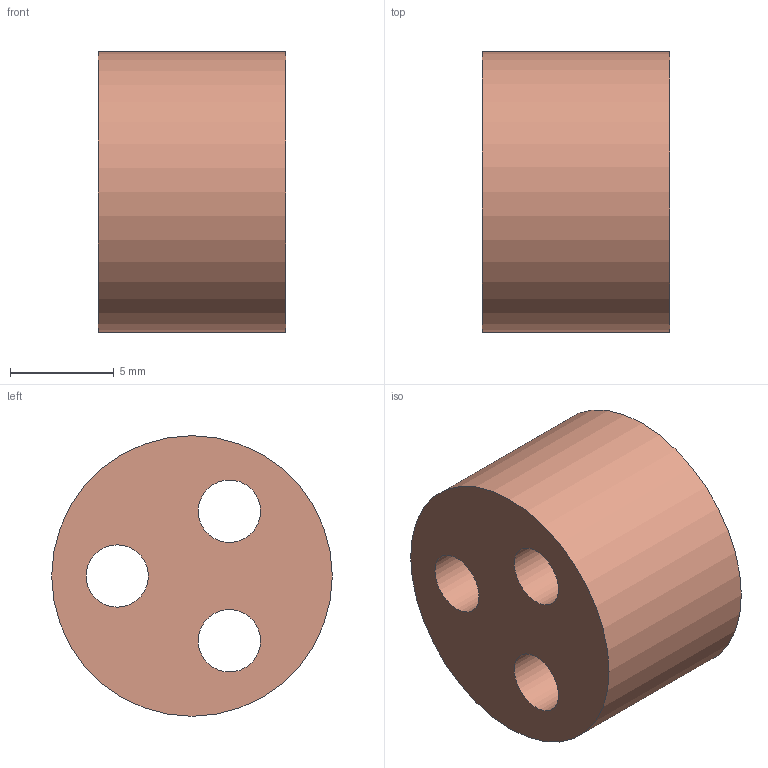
import cadquery as cq

body_diameter = 13.5
body_length = 9.0
hole_diameter = 3.0
hole_count = 3
hole_circle_radius = 3.6


def make_body():
    """Plain cylinder lying along the X axis."""
    return cq.Workplane("YZ").circle(body_diameter / 2).extrude(body_length)


def make_holes():
    """Through holes evenly spaced around the axis, the first one on +Y."""
    return (
        cq.Workplane("YZ")
        .polarArray(hole_circle_radius, 0, 360, hole_count)
        .circle(hole_diameter / 2)
        .extrude(body_length)
    )


result = make_body().cut(make_holes())